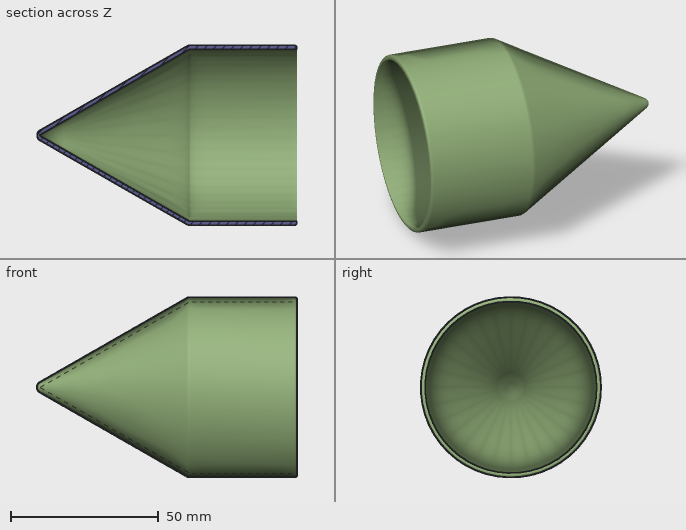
import cadquery as cq
import math

length = 88.0
body_diameter = 61.0
bore_diameter = 58.0
cylinder_length = 36.25
half_angle = 29.8
shoulder_radius = 2.0
tip_edge_radius = 1.8
rim_radius = 1.0

body_radius = body_diameter / 2
bore_radius = bore_diameter / 2
wall = body_radius - bore_radius
angle = math.radians(half_angle)
tip_x = -length / 2
rear_x = length / 2

shoulder_x = rear_x - cylinder_length
shoulder_center_r = body_radius - shoulder_radius
inner_shoulder_radius = shoulder_radius - wall


def shoulder_point(radius, turn):
    """Point on a shoulder arc, turned from the radial direction towards the tip."""
    return (
        shoulder_x - radius * math.sin(turn),
        shoulder_center_r + radius * math.cos(turn),
    )


cone_end = shoulder_point(shoulder_radius, angle)
tip_edge_x = cone_end[0] - (cone_end[1] - tip_edge_radius) / math.tan(angle)

cap_height = tip_edge_x - tip_x
cap_radius = (tip_edge_radius**2 + cap_height**2) / (2 * cap_height)
cap_turn = math.asin(tip_edge_radius / cap_radius) / 2
cap_middle = (
    tip_x + cap_radius * (1 - math.cos(cap_turn)),
    cap_radius * math.sin(cap_turn),
)

rim_x = rear_x - rim_radius
rim_center_r = body_radius - rim_radius
rim_middle = (
    rim_x + rim_radius * math.sin(math.pi / 4),
    rim_center_r + rim_radius * math.cos(math.pi / 4),
)

inner_cone_end = shoulder_point(inner_shoulder_radius, angle)
inner_apex_x = inner_cone_end[0] - inner_cone_end[1] / math.tan(angle)

section = (
    cq.Workplane("XY")
    .moveTo(tip_x, 0)
    .threePointArc(cap_middle, (tip_edge_x, tip_edge_radius))
    .lineTo(*cone_end)
    .threePointArc(shoulder_point(shoulder_radius, angle / 2), (shoulder_x, body_radius))
    .lineTo(rim_x, body_radius)
    .threePointArc(rim_middle, (rear_x, rim_center_r))
    .lineTo(rear_x, bore_radius)
    .lineTo(shoulder_x, bore_radius)
    .threePointArc(shoulder_point(inner_shoulder_radius, angle / 2), inner_cone_end)
    .lineTo(inner_apex_x, 0)
    .close()
)
result = section.revolve(360, (0, 0, 0), (1, 0, 0))